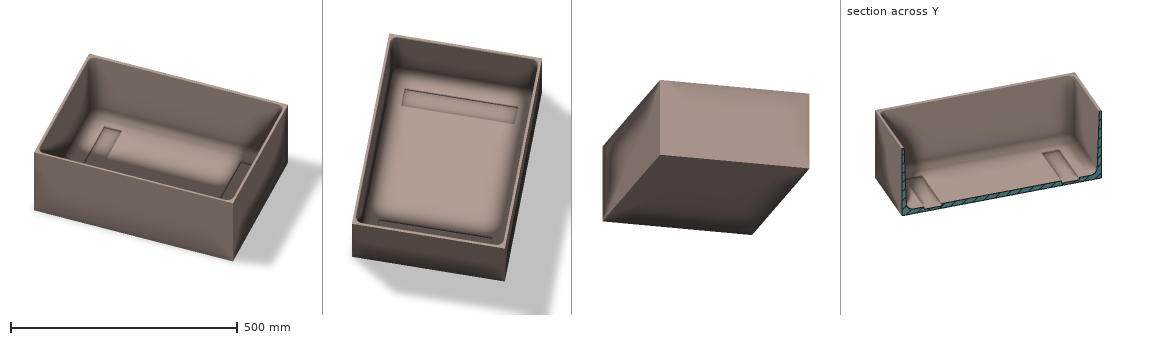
import cadquery as cq

length = 470.0
width = 343.5
height = 175.0

wall_at_rim = 6.0
floor_thickness = 13.0
wall_draft = 2.0
cavity_radius = 15.5
rim_chamfer = 1.5

recess_length = 256.5
recess_width = 44.0
recess_depth = 6.0
recess_chamfer = 1.5
recess_corner_radius = 3.0
recess_spacing = 322.5
chamfer_angle = 45.0


def cavity():
    """Solid filling the inside of the box, drawn from the rim down to the floor."""
    block = (
        cq.Workplane("XY")
        .workplane(offset=height)
        .rect(length - 2 * wall_at_rim, width - 2 * wall_at_rim)
        .extrude(floor_thickness - height, taper=wall_draft)
    )
    return block.edges("not >Z").fillet(cavity_radius)


def rounded_slab(margin, depth, taper):
    """Slab sunk below the cavity floor, its outline set in by margin from the recess mouth."""
    outline = (
        cq.Sketch()
        .rect(recess_width - 2 * margin, recess_length - 2 * margin)
        .vertices()
        .fillet(recess_corner_radius - margin)
    )
    return (
        cq.Workplane("XY")
        .workplane(offset=floor_thickness)
        .placeSketch(outline)
        .extrude(-depth, taper=taper)
    )


def floor_recess():
    """Solid filling one recess: a straight pocket below a chamfered mouth."""
    pocket = rounded_slab(recess_chamfer, recess_depth, 0)
    mouth = rounded_slab(0, recess_chamfer, chamfer_angle)
    return pocket.union(mouth)


tray = cq.Workplane("XY").box(length, width, height, centered=(True, True, False)).cut(cavity())

tray = tray.faces(">Z").edges("not(<X or >X or <Y or >Y)").chamfer(rim_chamfer)

for side in (-1, 1):
    tray = tray.cut(floor_recess().translate((side * recess_spacing / 2, 0, 0)))

result = tray